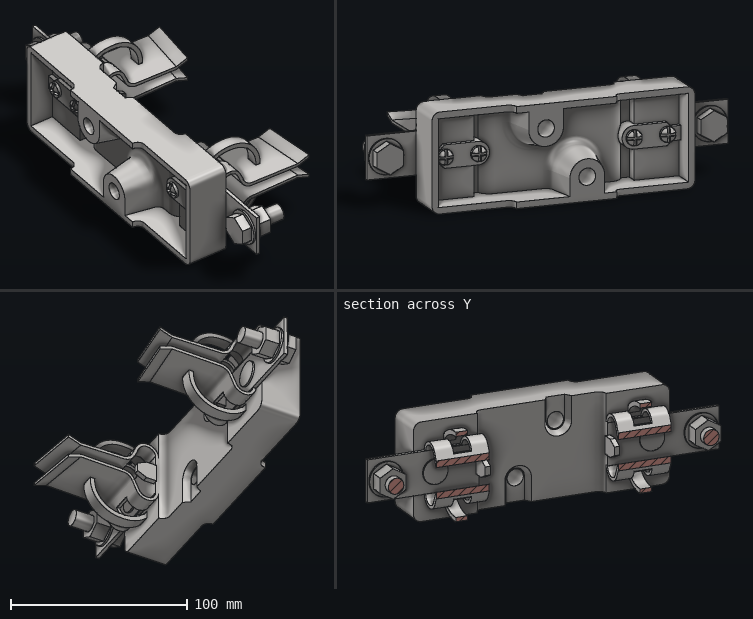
import cadquery as cq
import math


body_length = 160.2
body_height = 60.0
wall = 4.0
corner_radius = 4.8
end_depth = 25.0
rim_depth = 30.0
rim_half_length = 30.5
rim_fillet = 4.5
recess_depth = 4.6
recess_half_length = 40.3
floor_thickness = 3.5
trench_floor = 2.5
pad_edge = 48.8
pad_depth = 10.1

boss_x = 12.5
boss_z = 15.5
boss_hole_diameter = 10.1
boss_top_radius = 10.5
boss_foot_radius = 14.7
boss_fillet = 4.5
slot_top_radius = 8.4
slot_bottom_radius = 5.7
slot_depth = 4.0

screw_positions = (-67.8, -47.3)
strap_width = 13.9
strap_depth = 13.0
strap_tail_width = 8.5
screw_head_radius = 4.6
screw_head_height = 3.5
screw_dome_rise = 1.5
cross_width = 1.8
cross_depth = 2.2
screw_washer_radius = 7.7
screw_washer_thickness = 1.0

plate_end = 110.0
plate_half_height = 13.0
plate_thickness = 2.2
bolt_x = -98.5
bolt_diameter = 10.0
bolt_tip = 23.8
hex_flats = 16.0
bolt_washer_radius = 10.5
bolt_washer_thickness = 1.2
nut_height = 8.8
bolt_head_height = 6.2

clip_outer_x = -73.5
clip_inner_x = -recess_half_length
sheet = 2.0
loop_diameter = 15.2
loop_radius = loop_diameter / 2
loop_z = 12.3
neck_radius = 6.4
neck_y = 23.0
finger_z = 5.7
finger_slope = 0.02
bend_outer_y = 54.5
bend_inner_y = 50.5
flare_length = 8.0
flare_rise = 2.9
window_outer_x = -62.0
window_inner_x = -50.8
window_z = 13.6
stop_end_x = -38.7
stop_thickness = 3.3
stop_height = 14.5
stop_shoulder_y = 8.8
stop_half_width = 5.5
stop_top_half_width = 2.6

ring_outer_x = -61.4
ring_width = 7.5
ring_y = 15.6
ring_z = 6.8
ring_radius = 20.2
ring_flat = 2.0
ring_thickness = 2.9
ring_end_z = 4.5


def plane_at(y):
    """Sketch plane at the given Y, with X and Z as its axes, extruding towards -Y."""
    return cq.Workplane("XZ", origin=(0, y, 0))


def side_plane(x):
    """Sketch plane at the given X, with Y and Z as its axes, extruding towards +X."""
    return cq.Workplane("YZ", origin=(x, 0, 0))


def box(x_range, y_range, z_range):
    size = [b - a for a, b in (x_range, y_range, z_range)]
    return cq.Workplane("XY").box(*size, centered=False).translate((x_range[0], y_range[0], z_range[0]))


def disc(x, z, radius, y_start, y_end):
    """Cylinder along Y from y_start down to y_end."""
    return plane_at(y_start).center(x, z).circle(radius).extrude(y_start - y_end)


def mirror_ends(shape):
    return shape.union(shape.mirror("YZ"))


def on_circle(center, radius, angle):
    return (center[0] + radius * math.cos(angle), center[1] + radius * math.sin(angle))


def tray():
    block = (
        plane_at(0).rect(body_length, body_height).extrude(rim_depth)
        .edges("|Y").fillet(corner_radius)
    )
    half = body_length / 2
    step_x = recess_half_length - recess_depth
    diagonal = math.sqrt(0.5)
    rim_start = rim_half_length + rim_fillet

    recess_mid = recess_depth * diagonal
    rim_mid = rim_fillet * diagonal
    rim_fillet_y = -end_depth - rim_fillet
    outline = (
        cq.Workplane("XY", origin=(0, 0, -body_height / 2))
        .moveTo(0, -recess_depth)
        .lineTo(-step_x, -recess_depth)
        .threePointArc((-step_x - recess_mid, -recess_mid), (-recess_half_length, 0))
        .lineTo(-half, 0)
        .lineTo(-half, -end_depth)
        .lineTo(-rim_start, -end_depth)
        .threePointArc((-rim_start + rim_mid, rim_fillet_y + rim_mid), (-rim_half_length, rim_fillet_y))
        .lineTo(-rim_half_length, -rim_depth)
        .lineTo(0, -rim_depth)
        .close()
        .extrude(body_height)
    )

    inner_half = half - wall
    cavity_height = body_height - 2 * wall
    middle_floor = recess_depth + floor_thickness
    arc_start_x = step_x + math.sqrt(middle_floor**2 - trench_floor**2)
    arc_mid = middle_floor * diagonal
    cavity = (
        cq.Workplane("XY", origin=(0, 0, -cavity_height / 2))
        .moveTo(-inner_half, -rim_depth)
        .lineTo(-inner_half, -pad_depth)
        .lineTo(-pad_edge, -pad_depth)
        .lineTo(-pad_edge, -trench_floor)
        .lineTo(-arc_start_x, -trench_floor)
        .threePointArc((-step_x - arc_mid, -arc_mid), (-step_x, -middle_floor))
        .lineTo(0, -middle_floor)
        .lineTo(0, -rim_depth)
        .close()
        .extrude(cavity_height)
    )
    return block.intersect(mirror_ends(outline)).cut(mirror_ends(cavity))


def boss_half_section(plane):
    """Half section of a boss: tapered side with a fillet at the foot."""
    floor_y = -recess_depth - floor_thickness
    slope = math.atan2(rim_depth + floor_y, boss_foot_radius - boss_top_radius)
    tangent = boss_fillet * math.tan(slope / 2)
    foot = (boss_foot_radius + tangent, floor_y)
    side = (boss_foot_radius - tangent * math.cos(slope), floor_y - tangent * math.sin(slope))
    fillet_center = (foot[0], floor_y - boss_fillet)
    middle = on_circle(fillet_center, boss_fillet, math.pi / 2 + slope / 2)
    return (
        plane.moveTo(0, floor_y).lineTo(*foot).threePointArc(middle, side)
        .lineTo(boss_top_radius, -rim_depth).lineTo(0, -rim_depth).close()
    )


def stadium_to_wall(section, run):
    """Revolve a half section half a turn about the Y axis and carry it straight on along +Z."""
    rounded = section(cq.Workplane("XY")).revolve(180, (0, 0), (0, 1))
    straight = section(cq.Workplane("XY")).extrude(run)
    return rounded.union(straight).union(straight.mirror("YZ"))


def slot_half_section(plane):
    top = -recess_depth
    return (
        plane.moveTo(0, top).lineTo(slot_top_radius, top)
        .lineTo(slot_bottom_radius, top - slot_depth).lineTo(0, top - slot_depth).close()
    )


def add_bosses(body):
    place = (-boss_x, 0, boss_z)
    to_outside = body_height / 2 - boss_z
    boss = stadium_to_wall(boss_half_section, to_outside - wall).translate(place)
    slot = stadium_to_wall(slot_half_section, to_outside).translate(place)
    hole = disc(-boss_x, boss_z, boss_hole_diameter / 2, 0, -rim_depth)
    cutter = slot.union(hole)
    for turn in (0, 180):
        body = body.union(boss.rotate((0, 0, 0), (0, 1, 0), turn))
    for turn in (0, 180):
        body = body.cut(cutter.rotate((0, 0, 0), (0, 1, 0), turn))
    return body


def strap():
    """Raised strap with a rounded inner end and a narrower tail that meets the end wall."""
    outer_x, inner_x = screw_positions
    radius = strap_width / 2
    tail = strap_tail_width / 2
    height = strap_depth - trench_floor
    wall_x = -body_length / 2 + wall
    chamfer_x = outer_x - (radius - tail)
    half_outline = [
        (wall_x, tail),
        (chamfer_x, tail),
        (outer_x, radius),
        (inner_x, radius),
    ]
    lower = [(x, -z) for x, z in reversed(half_outline)]
    return (
        plane_at(-trench_floor)
        .polyline(half_outline)
        .threePointArc((inner_x + radius, 0), lower[0])
        .polyline(lower[1:], includeCurrent=True)
        .close()
        .extrude(height)
    )


def screw_head(x):
    edge_y = -strap_depth - screw_head_height + screw_dome_rise
    top_y = -strap_depth - screw_head_height
    head = (
        cq.Workplane("XY")
        .moveTo(0, -strap_depth)
        .lineTo(screw_head_radius, -strap_depth)
        .lineTo(screw_head_radius, edge_y)
        .threePointArc((screw_head_radius / 2, top_y + screw_dome_rise / 4), (0, top_y))
        .close()
        .revolve(360, (0, 0), (0, 1))
    )
    slot_length = 2 * screw_head_radius
    for size in ((slot_length, cross_width), (cross_width, slot_length)):
        head = head.cut(plane_at(top_y + cross_depth).rect(*size).extrude(cross_depth))
    return head.translate((x, 0, 0))


def terminal():
    plate = box(
        (-plate_end, clip_inner_x), (0, plate_thickness), (-plate_half_height, plate_half_height)
    )
    washer_back = plate_thickness + bolt_washer_thickness
    washers = disc(bolt_x, 0, bolt_washer_radius, washer_back, -bolt_washer_thickness)
    head_bottom = -bolt_washer_thickness - bolt_head_height
    nut_top = washer_back + nut_height
    hexagon = (
        plane_at(nut_top).center(bolt_x, 0).transformed(rotate=(0, 0, 90))
        .polygon(6, hex_flats / math.cos(math.pi / 6))
        .extrude(nut_top - head_bottom)
    )
    shank = disc(bolt_x, 0, bolt_diameter / 2, bolt_tip, 0)
    screw_washer = disc(
        screw_positions[0], 0, screw_washer_radius, plate_thickness + screw_washer_thickness, 0
    )
    return plate.union(washers).union(hexagon).union(shank).union(screw_washer)


def clip_loop():
    """Upper half of the sheet: base, round loop and the neck that leads into the finger."""
    loop = (loop_radius, loop_z)
    neck = (neck_y, finger_z + neck_radius)
    inner_radius = loop_radius - sheet
    dy = neck[0] - loop[0]
    dz = neck[1] - loop[1]
    angle = math.atan2(dz, dy) + math.acos((loop_radius + neck_radius) / math.hypot(dy, dz))
    loop_mid = (math.pi + angle) / 2
    neck_mid = (math.pi + angle + 1.5 * math.pi) / 2
    outer_neck = neck_radius
    inner_neck = neck_radius + sheet
    return (
        side_plane(clip_outer_x)
        .moveTo(0, 0)
        .lineTo(0, loop_z)
        .threePointArc(on_circle(loop, loop_radius, loop_mid), on_circle(loop, loop_radius, angle))
        .lineTo(*on_circle(neck, outer_neck, math.pi + angle))
        .threePointArc(on_circle(neck, outer_neck, neck_mid), (neck_y, finger_z))
        .lineTo(neck_y, finger_z - sheet)
        .threePointArc(on_circle(neck, inner_neck, neck_mid), on_circle(neck, inner_neck, math.pi + angle))
        .lineTo(*on_circle(loop, inner_radius, angle))
        .threePointArc(on_circle(loop, inner_radius, loop_mid), (sheet, loop_z))
        .lineTo(sheet, 0)
        .close()
        .extrude(clip_inner_x - clip_outer_x)
    )


def clip_finger():
    """Finger with a flared tip; bend and tip run at a slant from the outer to the inner side."""

    def outline(bend_y):
        bend_z = finger_z - finger_slope * (bend_y - neck_y)
        upper = [(neck_y, finger_z), (bend_y, bend_z), (bend_y + flare_length, bend_z + flare_rise)]
        return upper + [(y, z - sheet) for y, z in reversed(upper)]

    return (
        side_plane(clip_outer_x)
        .polyline(outline(bend_outer_y)).close()
        .workplane(offset=clip_inner_x - clip_outer_x)
        .polyline(outline(bend_inner_y)).close()
        .loft(ruled=True)
    )


def spring_ring():
    """Upper half of the ring, ending on the finger and on the back face of the tray."""
    outer = 2 * ring_radius
    inner = outer - 2 * ring_thickness
    ring = (
        side_plane(ring_outer_x).center(ring_y, ring_z)
        .slot2D(outer + ring_flat, outer).slot2D(inner + ring_flat, inner)
        .extrude(ring_width)
    )
    keep = box(
        (ring_outer_x, ring_outer_x + ring_width),
        (0, ring_y + ring_radius + ring_flat),
        (ring_end_z, ring_z + ring_radius),
    )
    return ring.intersect(keep)


def clip_stop():
    """Upright tab at the inner end of the clip, narrowing above its shoulder."""
    half_outline = [
        (0, stop_half_width),
        (stop_shoulder_y, stop_half_width),
        (stop_height, stop_top_half_width),
    ]
    outline = half_outline + [(y, -z) for y, z in reversed(half_outline)]
    foot_cut = box((clip_inner_x, stop_end_x), (0, plate_thickness), (-stop_half_width, stop_half_width))
    tab = side_plane(stop_end_x - stop_thickness).polyline(outline).close().extrude(stop_thickness)
    return tab.cut(foot_cut)


def clip():
    window = box(
        (window_outer_x, window_inner_x), (0, loop_diameter), (window_z, loop_z + loop_radius)
    )
    upper = clip_loop().cut(window).union(clip_finger()).union(spring_ring())
    return upper.union(upper.mirror("XY")).union(clip_stop())


left_end = strap().union(terminal()).union(clip())
for screw_x in screw_positions:
    left_end = left_end.union(screw_head(screw_x))

result = add_bosses(tray()).union(mirror_ends(left_end))